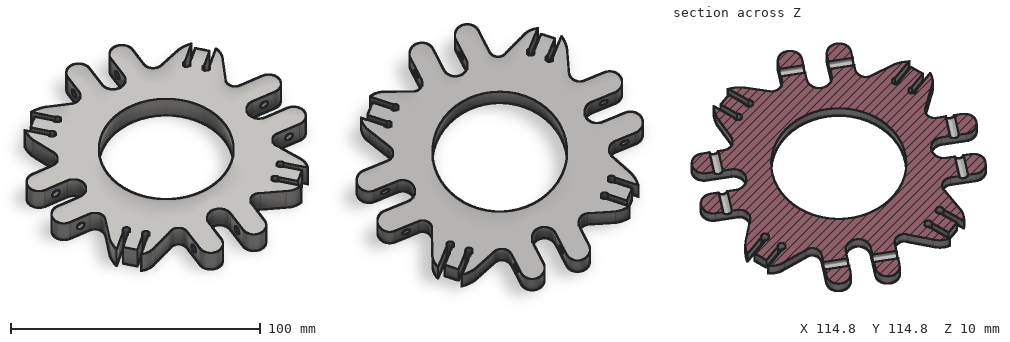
import cadquery as cq
import math

span = 114.8
thickness = 10.0
bore_diameter = 54.0

tab_half_width = 3.0
tab_reach = 55.5
prong_inner = 5.0
slot_floor = 46.3
relief_radius = 1.5

finger_width = 10.0
finger_radius = finger_width / 2
finger_inner = finger_width / 2
finger_outer = finger_inner + finger_width
finger_tip_center = 53.0
gap_center = 42.8

pin_diameter = 3.5
pin_distance = 48.1

curved_flank = {
    "tip_mid": (7.6, 55.5),
    "shoulder": (9.4, 52.1),
    "flank_end": (13.1, 42.7),
    "root_mid": (16.4, 39.6),
    "root_distance": 42.7,
}
straight_flank = {
    "tip_mid": (7.1, 55.6),
    "shoulder": (9.2, 52.8),
    "flank_end": (13.8, 42.7),
    "root_mid": (17.0, 40.5),
    "root_distance": 43.9,
}


def from_diagonal(along, across):
    """Point at a distance along the XY diagonal and across it, towards +Y."""
    return ((along - across) / math.sqrt(2), (along + across) / math.sqrt(2))


def octant(flank):
    """Solid between the +Y axis and the XY diagonal: half a tab, a prong, a finger."""
    finger_middle = finger_inner + finger_radius
    gap_corner = finger_radius / math.sqrt(2)
    return (
        cq.Workplane("XY")
        .lineTo(0, tab_reach)
        .lineTo(tab_half_width, tab_reach)
        .lineTo(tab_half_width, slot_floor)
        .lineTo(prong_inner, slot_floor)
        .lineTo(prong_inner, span / 2)
        .threePointArc(flank["tip_mid"], flank["shoulder"])
        .lineTo(*flank["flank_end"])
        .threePointArc(flank["root_mid"], from_diagonal(flank["root_distance"], finger_outer))
        .lineTo(*from_diagonal(finger_tip_center, finger_outer))
        .threePointArc(
            from_diagonal(finger_tip_center + finger_radius, finger_middle),
            from_diagonal(finger_tip_center, finger_inner),
        )
        .lineTo(*from_diagonal(gap_center, finger_inner))
        .threePointArc(
            from_diagonal(gap_center - gap_corner, gap_corner),
            from_diagonal(gap_center - finger_radius, 0),
        )
        .close()
        .extrude(thickness)
    )


def quadrant(flank):
    """+X +Y quarter of the plate, symmetric about its diagonal."""
    upper = octant(flank)
    lower = upper.mirror("YZ").rotate((0, 0, 0), (0, 0, 1), -90)
    return upper.union(lower)


upper_half = quadrant(curved_flank).union(quadrant(straight_flank).mirror("YZ"))
plate = upper_half.union(upper_half.mirror("XZ"))

plate = plate.cut(cq.Workplane("XY").circle(bore_diameter / 2).extrude(thickness))

relief_x = (tab_half_width + prong_inner) / 2
reliefs = (
    cq.Workplane("XY")
    .pushPoints([(-relief_x, slot_floor), (relief_x, slot_floor)])
    .circle(relief_radius)
    .extrude(thickness)
)

pin_hole = (
    cq.Workplane("XZ")
    .center(pin_distance, thickness / 2)
    .circle(pin_diameter / 2)
    .extrude(finger_outer, both=True)
)

for side in range(4):
    side_angle = 90 * side
    plate = plate.cut(reliefs.rotate((0, 0, 0), (0, 0, 1), side_angle))
    plate = plate.cut(pin_hole.rotate((0, 0, 0), (0, 0, 1), side_angle + 45))

result = plate